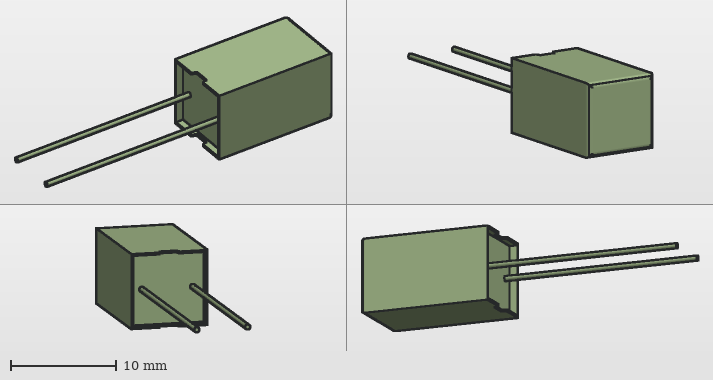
import cadquery as cq


total_length = 32.1
case_width = 7.5
case_height = 7.3
case_length = 13.1
wall = 0.2
back_fillet = 0.5

resin_recess = 0.8

notch_depth = 0.5
notch_rim_width = 2.0
notch_inner_width = 1.6

lead_diameter = 0.5
lead_spacing = 5.0

lead_tip_y = case_length - total_length
cavity_width = case_width - 2 * wall
cavity_height = case_height - 2 * wall
cavity_back_y = case_length - wall


def block_along_y(width, height, start_y, end_y):
    """Box centred on the Y axis, running from start_y to end_y."""
    return cq.Workplane("XY").box(width, end_y - start_y, height).translate((0, (start_y + end_y) / 2, 0))


def make_notch_cutter():
    """Tapered notch at the middle of the rim, through the top and bottom walls."""
    return (
        cq.Workplane("XY")
        .moveTo(-notch_rim_width / 2, 0)
        .lineTo(notch_rim_width / 2, 0)
        .lineTo(notch_inner_width / 2, notch_depth)
        .lineTo(-notch_inner_width / 2, notch_depth)
        .close()
        .extrude(case_height, both=True)
    )


def make_case():
    """Thin-walled case with rounded back edges and notched rim."""
    outer = block_along_y(case_width, case_height, 0, case_length)
    outer = outer.faces(">Y").edges().fillet(back_fillet)
    cavity = block_along_y(cavity_width, cavity_height, 0, cavity_back_y)
    return outer.cut(cavity).cut(make_notch_cutter())


def make_resin():
    """Filling that occupies the cavity behind the recess."""
    return block_along_y(cavity_width, cavity_height, resin_recess, cavity_back_y)


def make_lead(x):
    """Round wire standing on the resin surface."""
    lead_length = resin_recess - lead_tip_y
    return (
        cq.Workplane("XZ", origin=(x, resin_recess, 0))
        .circle(lead_diameter / 2)
        .extrude(lead_length)
    )


case = make_case()
resin = make_resin()
leads = [make_lead(side * lead_spacing / 2) for side in (-1, 1)]

result = cq.Compound.makeCompound([case.val(), resin.val(), *[lead.val() for lead in leads]])